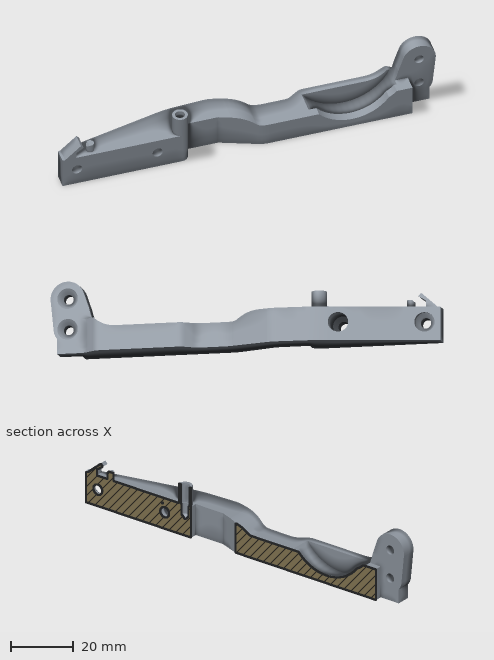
import cadquery as cq
import math

LENGTH = 126.5
BODY_HEIGHT = 11.0
STRIP_WIDTH = 10.0
HALF_WIDTH = STRIP_WIDTH / 2
BULGE_WIDTH = 13.0
BEND_WIDTH = 14.3
OVERSHOOT = 1.3

PAD_END_Y = 117.1
STRIP_END_Y = 124.3
BULGE_Y_LOW = 83.1
BULGE_Y_HIGH = 111.0
BULGE_RAMP = 4.5
NECK_OUTER_Y = 68.3
NECK_INNER_Y = 67.3
BEND_OUTER_Y = 53.1
BEND_INNER_Y = 53.6
TAPER_Y = 38.5
TAPER_WIDTH = 13.5
TIP_WIDTH = 4.7
NECK_RADIUS = 10.1
TAPER_RADIUS = 38.0
BULGE_RADIUS = 3.8

LUG_RADIUS = 5.6
LUG_HEIGHT = 23.5
LUG_HEEL_RADIUS = 4.5
LUG_FLANK_LEAN = math.radians(19)
LUG_Y = LENGTH - LUG_RADIUS
LUG_UPPER_Z = LUG_HEIGHT - LUG_RADIUS
LUG_HOLE_PITCH = 10.0
LUG_LOWER_Z = LUG_UPPER_Z - LUG_HOLE_PITCH
LUG_HOLE_DIAMETER = 3.2
LUG_SINK_DIAMETER = 6.7

RECESS_Z = 8.0
COVE_Y = 104.7
COVE_Z = LUG_UPPER_Z
COVE_RADIUS = COVE_Z - RECESS_Z
HUMP_Y = 57.7
HUMP_RADIUS = 12.6
HUMP_FOOT_RADIUS = 3.0

WHEEL_Y = 97.1
WHEEL_Z = LUG_UPPER_Z
POCKET_RADIUS = 17.1
POCKET_OUTER_X = -10.5
POCKET_INNER_X = -3.0
RIM_SCOOP_RADIUS = 15.0

POST_DIAMETER = 5.0
POST_BORE_DIAMETER = 3.2
POST_X = -POST_DIAMETER / 2
POST_Y = 40.1
POST_TOP_Z = 18.0
POST_TAIL_DIAMETER = 2.5
POST_TAIL_DEPTH = 3.8

PIN_DIAMETER = 2.7
PIN_Y = 10.0
PIN_TOP_Z = 13.8
PIN_CHAMFER = 0.8
HOOK_FRONT_Y = 0.9
HOOK_BACK_Y = 4.7
HOOK_NOTCH_Z = 13.0
HOOK_TIP = (6.2, 15.7)
HOOK_LIP = (7.1, 14.7)

ARM_HOLE_Z = 6.0
ARM_HOLE_YS = (4.9, 31.9)
ARM_HOLE_DIAMETER = 3.4
ARM_HEAD_DIAMETER = 6.3
ARM_HEAD_SEAT_X = -HALF_WIDTH


def prism_along_x(profile, x_start, x_end):
    """Extrude a YZ wire from x_start to x_end."""
    return profile.extrude(x_end - x_start).translate((x_start, 0, 0))


def cylinder_along_x(y, z, radius, x_start, x_end):
    return prism_along_x(cq.Workplane("YZ").center(y, z).circle(radius), x_start, x_end)


def screw_cutter(y, z, hole_diameter, head_diameter, seat_x):
    """Through hole along X with a 90 degree countersink and a head bore on the -X side."""
    head_radius = head_diameter / 2
    hole_radius = hole_diameter / 2
    outer_x = -BEND_WIDTH - OVERSHOOT
    profile = (
        cq.Workplane("XY")
        .moveTo(outer_x, 0)
        .lineTo(outer_x, head_radius)
        .lineTo(seat_x, head_radius)
        .lineTo(seat_x + head_radius - hole_radius, hole_radius)
        .lineTo(OVERSHOOT, hole_radius)
        .lineTo(OVERSHOOT, 0)
        .close()
    )
    return profile.revolve(360, (0, 0, 0), (1, 0, 0)).translate((0, y, z))


def make_body():
    """Curved lever plate with its plan corners rounded and a notch left for the post."""
    bulge_high = (-BULGE_WIDTH, BULGE_Y_HIGH)
    bulge_high_root = (-STRIP_WIDTH, BULGE_Y_HIGH + BULGE_RAMP)
    bulge_low = (-BULGE_WIDTH, BULGE_Y_LOW)
    bulge_low_root = (-STRIP_WIDTH, BULGE_Y_LOW - BULGE_RAMP)
    neck_outer = (-STRIP_WIDTH, NECK_OUTER_Y)
    neck_inner = (0, NECK_INNER_Y)
    bend_outer = (-BEND_WIDTH, BEND_OUTER_Y)
    taper = (-TAPER_WIDTH, TAPER_Y)
    outline = [
        (0, 0),
        (-TIP_WIDTH, 0),
        taper,
        bend_outer,
        neck_outer,
        bulge_low_root,
        bulge_low,
        bulge_high,
        bulge_high_root,
        (-STRIP_WIDTH, STRIP_END_Y),
        (-HALF_WIDTH, STRIP_END_Y),
        (-HALF_WIDTH, PAD_END_Y),
        (0, PAD_END_Y),
        neck_inner,
        (-HALF_WIDTH, BEND_INNER_Y),
        (-HALF_WIDTH, POST_Y + POST_DIAMETER / 2),
        (POST_X, POST_Y + POST_DIAMETER / 2),
        (POST_X, POST_Y),
        (0, POST_Y),
    ]
    roundings = [
        (taper, TAPER_RADIUS),
        (bend_outer, NECK_RADIUS),
        (neck_outer, NECK_RADIUS),
        (neck_inner, NECK_RADIUS),
        (bulge_low_root, BULGE_RADIUS),
        (bulge_low, BULGE_RADIUS),
        (bulge_high, BULGE_RADIUS),
        (bulge_high_root, BULGE_RADIUS),
    ]
    body = cq.Workplane("XY").polyline(outline).close().extrude(BODY_HEIGHT)
    for (x, y), radius in roundings:
        corner = cq.NearestToPointSelector((x, y, BODY_HEIGHT / 2))
        body = body.edges("|Z").edges(corner).fillet(radius)
    return body


def make_lug():
    """Upright ear with a rounded top and a smaller rounded heel at the lower hole."""
    heel_angle = math.asin((LUG_RADIUS - LUG_HEEL_RADIUS) / LUG_HOLE_PITCH)

    def on_circle(z, radius, angle):
        return (LUG_Y + radius * math.cos(angle), z + radius * math.sin(angle))

    flank_top_y, flank_top_z = on_circle(LUG_UPPER_Z, LUG_RADIUS, math.pi - LUG_FLANK_LEAN)
    flank_foot_y = flank_top_y - (flank_top_z - BODY_HEIGHT) * math.tan(LUG_FLANK_LEAN)
    heel_end_angle = -math.acos((STRIP_END_Y - LUG_Y) / LUG_HEEL_RADIUS)
    heel_mid_angle = (heel_end_angle - heel_angle) / 2
    profile = (
        cq.Workplane("YZ")
        .moveTo(flank_foot_y, 0)
        .lineTo(flank_foot_y, BODY_HEIGHT)
        .lineTo(flank_top_y, flank_top_z)
        .threePointArc(
            (LUG_Y, LUG_HEIGHT),
            on_circle(LUG_UPPER_Z, LUG_RADIUS, -heel_angle),
        )
        .lineTo(*on_circle(LUG_LOWER_Z, LUG_HEEL_RADIUS, -heel_angle))
        .threePointArc(
            on_circle(LUG_LOWER_Z, LUG_HEEL_RADIUS, heel_mid_angle),
            on_circle(LUG_LOWER_Z, LUG_HEEL_RADIUS, heel_end_angle),
        )
        .lineTo(STRIP_END_Y, 0)
        .close()
    )
    return prism_along_x(profile, -STRIP_WIDTH, -HALF_WIDTH)


def make_recess_cutter():
    """Space above the lowered floor, from the cove at the lug to the hump of the arm."""
    cove_end_angle = math.asin((COVE_Z - BODY_HEIGHT) / COVE_RADIUS)
    cove_mid_angle = (math.pi / 2 + cove_end_angle) / 2
    cove_end_y = COVE_Y + COVE_RADIUS * math.cos(cove_end_angle)
    cove_mid = (
        COVE_Y + COVE_RADIUS * math.cos(cove_mid_angle),
        COVE_Z - COVE_RADIUS * math.sin(cove_mid_angle),
    )
    hump_z = BODY_HEIGHT - HUMP_RADIUS
    foot_angle = math.acos((RECESS_Z - hump_z) / HUMP_RADIUS)
    foot_y = HUMP_Y + HUMP_RADIUS * math.sin(foot_angle)
    hump_mid = (
        HUMP_Y + HUMP_RADIUS * math.sin(foot_angle / 2),
        hump_z + HUMP_RADIUS * math.cos(foot_angle / 2),
    )
    profile = (
        cq.Workplane("YZ")
        .moveTo(HUMP_Y, LUG_HEIGHT)
        .lineTo(HUMP_Y, BODY_HEIGHT)
        .threePointArc(hump_mid, (foot_y, RECESS_Z))
        .lineTo(COVE_Y, RECESS_Z)
        .threePointArc(cove_mid, (cove_end_y, BODY_HEIGHT))
        .lineTo(cove_end_y, LUG_HEIGHT)
        .close()
    )
    x_start = -BEND_WIDTH - OVERSHOOT
    cutter = prism_along_x(profile, x_start, OVERSHOOT)
    foot_edge = cq.NearestToPointSelector(((x_start + OVERSHOOT) / 2, foot_y, RECESS_Z))
    return cutter.edges("|X").edges(foot_edge).fillet(HUMP_FOOT_RADIUS)


def make_post():
    """Full-height post that also rounds off the notched corner of the arm."""
    return (
        cq.Workplane("XY", origin=(POST_X, POST_Y, 0))
        .circle(POST_DIAMETER / 2)
        .extrude(POST_TOP_Z)
    )


def make_post_bore():
    """Blind bore through the post, narrowing inside the arm and ending in a drill point."""
    radius = POST_BORE_DIAMETER / 2
    tail_radius = POST_TAIL_DIAMETER / 2
    floor_z = BODY_HEIGHT - POST_TAIL_DEPTH
    profile = (
        cq.Workplane("XZ")
        .moveTo(0, POST_TOP_Z)
        .lineTo(radius, POST_TOP_Z)
        .lineTo(radius, BODY_HEIGHT)
        .lineTo(tail_radius, BODY_HEIGHT)
        .lineTo(tail_radius, floor_z)
        .lineTo(0, floor_z - tail_radius)
        .close()
    )
    return profile.revolve(360, (0, 0, 0), (0, 1, 0)).translate((POST_X, POST_Y, 0))


def make_pin():
    """Small pin with its top cut at 45 degrees on the side facing the hook."""
    radius = PIN_DIAMETER / 2
    front_y = PIN_Y - radius
    pin = cq.Workplane("XY", origin=(POST_X, PIN_Y, 0)).circle(radius).extrude(PIN_TOP_Z)
    corner = (
        cq.Workplane("YZ")
        .moveTo(front_y, PIN_TOP_Z)
        .lineTo(front_y + PIN_CHAMFER, PIN_TOP_Z)
        .lineTo(front_y, PIN_TOP_Z - PIN_CHAMFER)
        .close()
    )
    return pin.cut(prism_along_x(corner, POST_X - radius, POST_X + radius))


def make_hook():
    """Barb at the tip, leaning back over the arm."""
    profile = cq.Workplane("YZ").polyline([
        (HOOK_FRONT_Y, BODY_HEIGHT),
        HOOK_TIP,
        HOOK_LIP,
        (HOOK_BACK_Y, HOOK_NOTCH_Z),
        (HOOK_BACK_Y, BODY_HEIGHT),
    ]).close()
    return prism_along_x(profile, -HALF_WIDTH, 0)


lever = make_body().cut(make_recess_cutter()).union(make_lug())

lever = lever.cut(cylinder_along_x(WHEEL_Y, WHEEL_Z, POCKET_RADIUS, POCKET_OUTER_X, POCKET_INNER_X))
lever = lever.cut(cylinder_along_x(WHEEL_Y, WHEEL_Z, RIM_SCOOP_RADIUS, POCKET_INNER_X, OVERSHOOT))

lever = lever.union(make_post()).cut(make_post_bore())
lever = lever.union(make_pin()).union(make_hook())

for hole_z in (LUG_LOWER_Z, LUG_UPPER_Z):
    lever = lever.cut(screw_cutter(LUG_Y, hole_z, LUG_HOLE_DIAMETER, LUG_SINK_DIAMETER, -STRIP_WIDTH))
for hole_y in ARM_HOLE_YS:
    lever = lever.cut(screw_cutter(hole_y, ARM_HOLE_Z, ARM_HOLE_DIAMETER, ARM_HEAD_DIAMETER, ARM_HEAD_SEAT_X))

result = lever